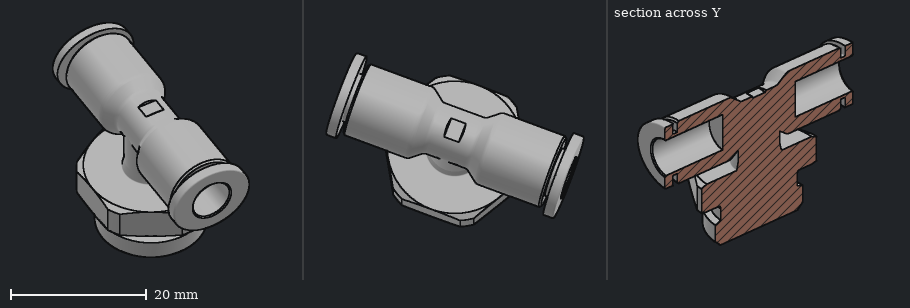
import cadquery as cq
import math

THREAD_RADIUS = 8.35
THREAD_TIP_CHAMFER = 1.0
THREAD_TOP_Z = 4.0
RELIEF_RADIUS = 7.3
RELIEF_BOTTOM_Z = 4.45
RELIEF_TOP_Z = 6.5
RELIEF_FLARE_RADIUS = 7.5

HEX_SIDES = 6
HEX_BOTTOM_Z = 7.0
HEX_TOP_Z = 12.0
HEX_ACROSS_FLATS = 20.0
HEX_CORNER_RADIUS = 11.0
HEX_TOP_BEVEL_DROP = 0.45
HEX_BOTTOM_BEVEL_RISE = 0.25

TOTAL_LENGTH = 35.9
BODY_RADIUS = 5.6
AXIS_Z = 19.9
BODY_HALF_LENGTH = 15.6
BODY_END_CHAMFER = 0.3
NECK_RADIUS = 4.0
NECK_HALF_LENGTH = 3.4
SHOULDER_LENGTH = 2.0
SHOULDER_BLEND_RADIUS = 1.0

STEM_RADIUS = NECK_RADIUS
STEM_FLARE_TOP_Z = 13.45
STEM_FLARE_RADIUS = 4.25
STEM_FOOT_BLEND_RADIUS = 0.2

PAD_LENGTH = 2.3
PAD_WIDTH = 3.0
PAD_WALL_DRAFT = 30.0

HALF_LENGTH = TOTAL_LENGTH / 2
SLEEVE_RADIUS = 3.73
FLANGE_THICKNESS = 1.6
FLANGE_SEMI_WIDTH = 6.5
FLANGE_SEMI_HEIGHT = 5.5
FLANGE_EDGE_FILLET = 0.25
SLEEVE_ROOT_FILLET = 0.1
BORE_RADIUS = 3.1
BORE_CHAMFER = 0.2
BORE_DEPTH = 11.0


def make_stud():
    """Thread, relief groove and flare, revolved about Z."""
    profile = [
        (0, 0),
        (THREAD_RADIUS - THREAD_TIP_CHAMFER, 0),
        (THREAD_RADIUS, THREAD_TIP_CHAMFER),
        (THREAD_RADIUS, THREAD_TOP_Z),
        (RELIEF_RADIUS, RELIEF_BOTTOM_Z),
        (RELIEF_RADIUS, RELIEF_TOP_Z),
        (RELIEF_FLARE_RADIUS, HEX_BOTTOM_Z),
        (0, HEX_BOTTOM_Z),
    ]
    return cq.Workplane("XZ").polyline(profile).close().revolve(360, (0, 0), (0, 1))


def make_nut():
    """Hexagon with its corners turned round and bevelled on both faces."""
    across_corners = HEX_ACROSS_FLATS / math.cos(math.pi / HEX_SIDES)
    height = HEX_TOP_Z - HEX_BOTTOM_Z
    hexagon = cq.Workplane("XY", origin=(0, 0, HEX_BOTTOM_Z)).polygon(HEX_SIDES, across_corners).extrude(height)
    face_radius = HEX_ACROSS_FLATS / 2
    turned_profile = [
        (0, HEX_BOTTOM_Z),
        (face_radius, HEX_BOTTOM_Z),
        (HEX_CORNER_RADIUS, HEX_BOTTOM_Z + HEX_BOTTOM_BEVEL_RISE),
        (HEX_CORNER_RADIUS, HEX_TOP_Z - HEX_TOP_BEVEL_DROP),
        (face_radius, HEX_TOP_Z),
        (0, HEX_TOP_Z),
    ]
    turned = cq.Workplane("XZ").polyline(turned_profile).close().revolve(360, (0, 0), (0, 1))
    return hexagon.intersect(turned)


def make_stem():
    """Branch stem, flared towards its foot and blended into the nut face."""
    blend_top_z = HEX_TOP_Z + STEM_FOOT_BLEND_RADIUS
    blend_outer_radius = STEM_FLARE_RADIUS + STEM_FOOT_BLEND_RADIUS
    profile = (
        cq.Workplane("XZ")
        .moveTo(0, HEX_TOP_Z)
        .lineTo(blend_outer_radius, HEX_TOP_Z)
        .radiusArc((STEM_FLARE_RADIUS, blend_top_z), STEM_FOOT_BLEND_RADIUS)
        .lineTo(STEM_RADIUS, STEM_FLARE_TOP_Z)
        .lineTo(STEM_RADIUS, AXIS_Z)
        .lineTo(0, AXIS_Z)
        .close()
    )
    return profile.revolve(360, (0, 0), (0, 1))


def make_half_run():
    """Half of the run on the +X side: neck, blended shoulder and body."""
    shoulder_end = NECK_HALF_LENGTH + SHOULDER_LENGTH
    slope = math.atan2(BODY_RADIUS - NECK_RADIUS, SHOULDER_LENGTH)
    tangent_length = SHOULDER_BLEND_RADIUS * math.tan(slope / 2)
    along_x = tangent_length * math.cos(slope)
    along_r = tangent_length * math.sin(slope)
    profile = (
        cq.Workplane("XZ", origin=(0, 0, AXIS_Z))
        .moveTo(0, 0)
        .lineTo(0, NECK_RADIUS)
        .lineTo(NECK_HALF_LENGTH - tangent_length, NECK_RADIUS)
        .tangentArcPoint((NECK_HALF_LENGTH + along_x, NECK_RADIUS + along_r), relative=False)
        .lineTo(shoulder_end - along_x, BODY_RADIUS - along_r)
        .tangentArcPoint((shoulder_end + tangent_length, BODY_RADIUS), relative=False)
        .lineTo(BODY_HALF_LENGTH - BODY_END_CHAMFER, BODY_RADIUS)
        .lineTo(BODY_HALF_LENGTH, BODY_RADIUS - BODY_END_CHAMFER)
        .lineTo(BODY_HALF_LENGTH, 0)
        .close()
    )
    return profile.revolve(360, (0, 0), (1, 0))


def make_half_sleeve():
    """Release sleeve on the +X side, with its oval flange."""
    flange_inner_x = HALF_LENGTH - FLANGE_THICKNESS
    sleeve_length = flange_inner_x - BODY_HALF_LENGTH
    sleeve_plane = cq.Workplane("YZ", origin=(BODY_HALF_LENGTH, 0, AXIS_Z))
    sleeve = sleeve_plane.circle(SLEEVE_RADIUS).extrude(sleeve_length)
    flange = (
        cq.Workplane("YZ", origin=(flange_inner_x, 0, AXIS_Z))
        .ellipse(FLANGE_SEMI_WIDTH, FLANGE_SEMI_HEIGHT)
        .extrude(FLANGE_THICKNESS)
        .faces(">X")
        .edges()
        .fillet(FLANGE_EDGE_FILLET)
    )
    joined = sleeve.union(flange)
    return joined.edges("%CIRCLE").edges(">X").fillet(SLEEVE_ROOT_FILLET)


def make_half_bore():
    """Blind tube socket on the +X side, with a chamfered mouth."""
    floor_x = HALF_LENGTH - BORE_DEPTH
    profile = [
        (floor_x, 0),
        (floor_x, BORE_RADIUS),
        (HALF_LENGTH - BORE_CHAMFER, BORE_RADIUS),
        (HALF_LENGTH, BORE_RADIUS + BORE_CHAMFER),
        (HALF_LENGTH, 0),
    ]
    outline = cq.Workplane("XZ", origin=(0, 0, AXIS_Z)).polyline(profile).close()
    return outline.revolve(360, (0, 0), (1, 0))


def make_pad_cut():
    """Block with drafted walls whose lower face leaves the flat pad on the neck."""
    half_width = PAD_WIDTH / 2
    pad_height = math.sqrt(NECK_RADIUS**2 - half_width**2)
    cut_height = NECK_RADIUS - pad_height
    pad_plane = cq.Workplane("XY", origin=(0, 0, AXIS_Z + pad_height))
    return pad_plane.rect(PAD_LENGTH, PAD_WIDTH).extrude(cut_height, taper=-PAD_WALL_DRAFT)


result = make_stud().union(make_nut()).union(make_stem())
half_run = make_half_run().union(make_half_sleeve())
half_bore = make_half_bore()
result = result.union(half_run).union(half_run.mirror("YZ"))
result = result.cut(half_bore).cut(half_bore.mirror("YZ"))
result = result.cut(make_pad_cut())